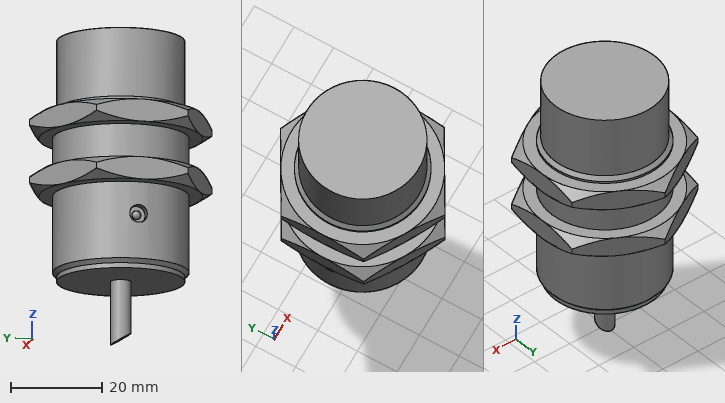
import cadquery as cq
import math

TOTAL_HEIGHT = 68.4
HOUSING_BOTTOM = 14.3
THREAD_BOTTOM = 15.4
THREAD_TOP = 52.95

BARREL_DIAMETER = 30.0
CAP_DIAMETER = 28.2
CHAMFER_HEIGHT = (BARREL_DIAMETER - CAP_DIAMETER) / 2

CABLE_DIAMETER = 4.5
CABLE_CUT_RISE = 2.75

LAMP_HEIGHT = 26.4
LAMP_RECESS_DIAMETER = 4.0
LAMP_RECESS_DEPTH = 2.0
LAMP_DIAMETER = 2.0

NUT_ACROSS_FLATS = 36.0
NUT_THICKNESS = 5.0
NUT_CORNER_DROP = 1.85
NUT_BOTTOMS = (33.5, 46.5)

BARREL_RADIUS = BARREL_DIAMETER / 2
NUT_ACROSS_CORNERS = NUT_ACROSS_FLATS / math.cos(math.radians(30))


def make_barrel():
    """Revolve the stepped and chamfered housing outline about Z."""
    cap_radius = CAP_DIAMETER / 2
    outline = [
        (0, HOUSING_BOTTOM),
        (cap_radius, HOUSING_BOTTOM),
        (cap_radius, THREAD_BOTTOM),
        (BARREL_RADIUS, THREAD_BOTTOM + CHAMFER_HEIGHT),
        (BARREL_RADIUS, THREAD_TOP - CHAMFER_HEIGHT),
        (cap_radius, THREAD_TOP),
        (cap_radius, TOTAL_HEIGHT),
        (0, TOTAL_HEIGHT),
    ]
    return cq.Workplane("XZ").polyline(outline).close().revolve(360, (0, 0), (0, 1))


def make_cable():
    """Round cable whose slanted cut is lowest on the +Y side."""
    radius = CABLE_DIAMETER / 2
    cable = cq.Workplane("XY").circle(radius).extrude(HOUSING_BOTTOM)
    cut_away = (
        cq.Workplane("YZ")
        .polyline([(radius, 0), (-radius, CABLE_CUT_RISE), (-radius, 0)])
        .close()
        .extrude(radius, both=True)
    )
    return cable.cut(cut_away)


def make_lamp_recess():
    """Cylinder that cuts the lamp recess inward from the -X side."""
    return (
        cq.Workplane("YZ", origin=(-BARREL_RADIUS, 0, LAMP_HEIGHT))
        .circle(LAMP_RECESS_DIAMETER / 2)
        .extrude(LAMP_RECESS_DEPTH)
    )


def make_lamp():
    """Ball centred on the recess floor, so half of it stands out as a dome."""
    floor_x = -BARREL_RADIUS + LAMP_RECESS_DEPTH
    return cq.Workplane("XY", origin=(floor_x, 0, LAMP_HEIGHT)).sphere(LAMP_DIAMETER / 2)


def make_sensor():
    """Housing with its lamp and cable as one solid."""
    return make_barrel().union(make_cable()).cut(make_lamp_recess()).union(make_lamp())


def make_nut(bottom):
    """Lock nut with flats facing -X and +X and conical chamfers on both faces."""
    hexagon = (
        cq.Workplane("XY", origin=(0, 0, bottom))
        .polygon(6, NUT_ACROSS_CORNERS)
        .extrude(NUT_THICKNESS)
        .rotate((0, 0, 0), (0, 0, 1), 30)
    )
    top = bottom + NUT_THICKNESS
    face_radius = NUT_ACROSS_FLATS / 2
    corner_radius = NUT_ACROSS_CORNERS / 2
    chamfer_envelope = (
        cq.Workplane("XZ")
        .polyline([
            (0, bottom),
            (face_radius, bottom),
            (corner_radius, bottom + NUT_CORNER_DROP),
            (corner_radius, top - NUT_CORNER_DROP),
            (face_radius, top),
            (0, top),
        ])
        .close()
        .revolve(360, (0, 0), (0, 1))
    )
    bore = cq.Workplane("XY", origin=(0, 0, bottom)).circle(BARREL_RADIUS).extrude(NUT_THICKNESS)
    return hexagon.intersect(chamfer_envelope).cut(bore)


sensor = make_sensor()
nuts = [make_nut(bottom) for bottom in NUT_BOTTOMS]

result = cq.Compound.makeCompound([sensor.val(), *[nut.val() for nut in nuts]])